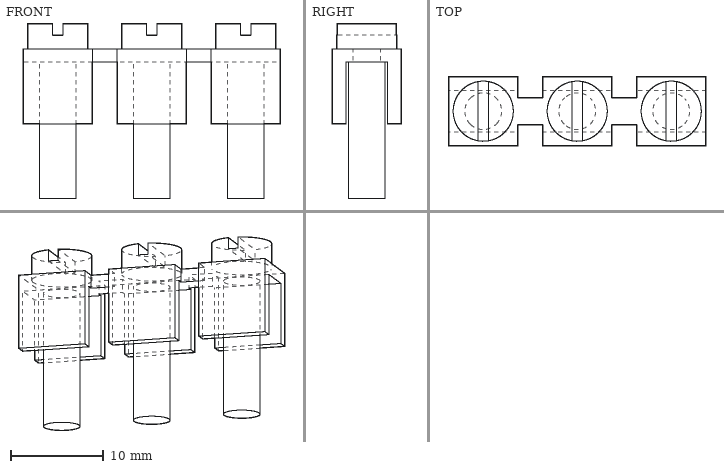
import cadquery as cq

length = 27.9
width = 7.5
height = 19.0

block_count = 3
block_height = 8.15
wall = 1.5
roof = 1.45
strip_width = 2.95

head_diameter = 6.53
head_height = 2.73
shank_diameter = 4.0
slot_width = 1.1
slot_depth = 1.25

pitch = (length - width) / (block_count - 1)
shank_length = height - head_height
block_centers = [(i - (block_count - 1) / 2) * pitch for i in range(block_count)]


def box_below(size_x, size_y, size_z, x=0, top=0):
    """Box centered in plan on (x, 0), reaching down from the given top."""
    box = cq.Workplane("XY").box(size_x, size_y, size_z, centered=(True, True, False))
    return box.translate((x, 0, top - size_z))


def clamp_block(x):
    """Inverted U, open downwards and at both X ends."""
    channel = box_below(width, width - 2 * wall, block_height - roof, x, -roof)
    return box_below(width, width, block_height, x).cut(channel)


def screw(x):
    """Cheese-head screw with its slot running along Y."""
    base = cq.Workplane("XY").center(x, 0)
    head = base.circle(head_diameter / 2).extrude(head_height)
    shank = base.circle(shank_diameter / 2).extrude(-shank_length)
    slot = box_below(slot_width, head_diameter, slot_depth, x, head_height)
    return head.cut(slot).union(shank)


result = box_below(block_centers[-1] - block_centers[0], strip_width, roof)
for center in block_centers:
    result = result.union(clamp_block(center)).union(screw(center))